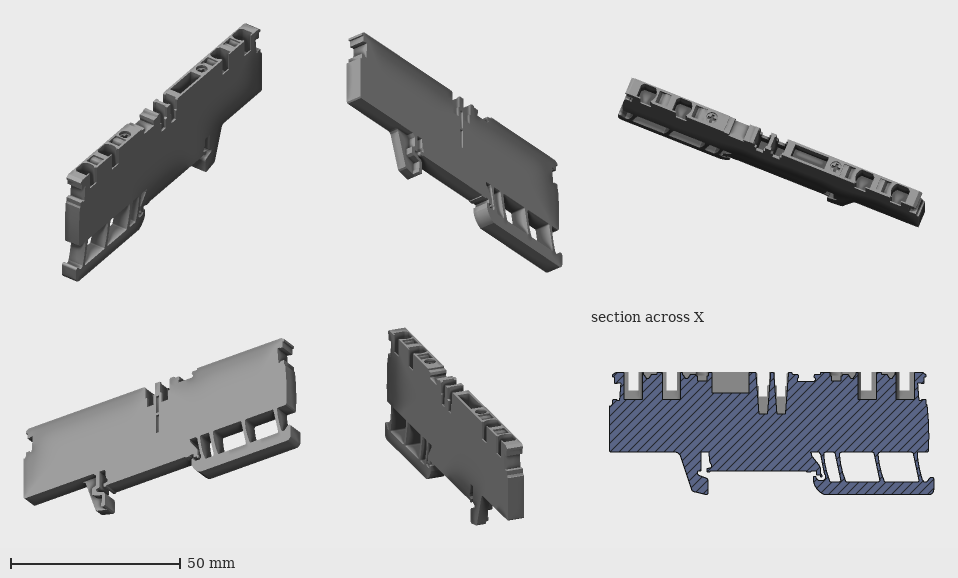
import cadquery as cq
import math

THICKNESS = 5.1
TOTAL_LENGTH = 95.74
HEIGHT = 36.15
HALF_HOUSING = 47.14
HOUSING_BOTTOM = 12.5
SHOULDER_Z = 26.35
HOUSING_CORNER = 0.4
BOWED_END_INSET = 0.1
BOWED_END_MIDDLE_Z = 18.0
LOWER_BLOCK_BOTTOM = 7.0
CLIP_SHOULDER_Y = -13.85
FOOT_TIP = HALF_HOUSING - TOTAL_LENGTH

BLADE_Y = -0.87
BLADE_HALF_TOP = 0.87
BLADE_HALF_ROOT = 1.45
NOTCH_HALF_TOP = 4.32
NOTCH_HALF_ROOT = 3.8
NOTCH_STEP_Z = 32.1
NOTCH_STEP_RISE = 0.4
NOTCH_FLOOR_Z = 28.92
NOTCH_CHAMFER = 0.4
BRIDGE_POCKET_HALF_WIDTH = 1.75
BRIDGE_POCKET_TOP = (0.5, 4.75)
BRIDGE_POCKET_FLOOR = (1.45, 3.85)
BRIDGE_POCKET_FLOOR_Z = 24.0

GROOVE_WIDTH = 1.2
GROOVE_DEPTH = 0.8
UPPER_GROOVE_Z = (25.7, 31.5)
LOWER_GROOVE_Z = (18.8, 24.9)
UPPER_GROOVE_CHAMFER = 0.25

POCKET_HALF_WIDTH = 1.88
FUNNEL_OUTER_ENDS = (42.8, 31.5)
FUNNEL_LENGTH = 5.3
FUNNEL_HALF_WIDTH = 2.2
FUNNEL_DEPTH = 8.0
FUNNEL_CORNER = 0.8
FUNNEL_NOSE_RADIUS = 2.95
SIDE_WINDOW_DEPTH = 5.5
SIDE_WINDOW_SPAN = (1.3, 4.8)
RELEASE_SLOT_OUTER_ENDS = (37.0, 25.5)
RELEASE_SLOT_LENGTH = 3.75
RELEASE_LEDGE_DEPTH = 0.6
RELEASE_VALLEY_DEPTH = 1.8
RELEASE_VALLEY_OFFSETS = (0.85, 1.4)
RELEASE_LEDGE_OFFSET = 2.2
MARKER_POCKET_Y = (6.1, 16.8)
MARKER_POCKET_DEPTH = 6.0
SCREW_Y = 19.75
SCREW_RADIUS = 1.75
SCREW_HOLE_DEPTH = 1.0
CROSS_LENGTH = 2.6
CROSS_WIDTH = 0.8
CROSS_DEPTH = 1.5

FOOT_TOE_Y = -13.0
FOOT_TOE_TOP = 5.5
FOOT_FLOOR_Z = 3.85
CELL_TOPS = ((-16.15, -19.3), (-20.8, -30.8), (-32.2, -42.35))
END_STRUT_TOP_Y = -43.75
STRUT_LEAN = 1.85
STRUT_BEND_Z = 11.6
STRUT_MIDDLE_Z = 7.75
STRUT_MIDDLE_LEAN = 0.6
CELL_CORNER_RADIUS = 0.45
FOOT_END_RADIUS = 1.5

HOOK_WEB_RECESS = 2.2
HOOK_RAIL_Y = 17.95
HOOK_NOSE_Z = 4.8
HOOK_NOSE_RADIUS = 1.2


def plate(points):
    """Extrude a (y, z) outline over the full thickness."""
    return cq.Workplane("YZ").polyline(points).close().extrude(THICKNESS / 2, both=True)


def corner_edge(y, z):
    """Selector for the edge along X that passes through (y, z)."""
    return cq.selectors.NearestToPointSelector((0, y, z))


def box(x_range, y_range, z_range):
    """Axis-aligned block between the given limits."""
    spans = [high - low for low, high in (x_range, y_range, z_range)]
    corner = (x_range[0], y_range[0], z_range[0])
    return cq.Workplane("XY").box(*spans, centered=False).translate(corner)


def end_outline(side):
    """Housing end from the top down to its shoulder; side is +1 for the +Y end, -1 for the -Y end."""
    profile = [
        (1.85, HEIGHT), (0.85, HEIGHT - 0.7), (0.85, 34.7), (1.45, 34.7), (1.45, 32.8),
        (2.3, 32.8), (2.4, 33.0), (3.3, 33.0), (2.9, 27.85), (2.3, 27.85), (2.1, 28.25),
        (0.9, 28.25), (0.85, 26.9), (0.5, SHOULDER_Z),
    ]
    return [(side * (HALF_HOUSING - inset), z) for inset, z in profile]


def notch_outline(side):
    """Bridge notch on one side of the blade, from the blade outwards."""
    profile = [
        (BLADE_HALF_TOP, HEIGHT), (BLADE_HALF_TOP, NOTCH_STEP_Z + NOTCH_STEP_RISE),
        (BLADE_HALF_ROOT, NOTCH_STEP_Z), (BLADE_HALF_ROOT, NOTCH_FLOOR_Z),
        (NOTCH_HALF_ROOT, NOTCH_FLOOR_Z), (NOTCH_HALF_ROOT, NOTCH_STEP_Z),
        (NOTCH_HALF_TOP, NOTCH_STEP_Z), (NOTCH_HALF_TOP, HEIGHT - NOTCH_CHAMFER),
        (NOTCH_HALF_TOP + NOTCH_CHAMFER, HEIGHT),
    ]
    return [(BLADE_Y + side * offset, z) for offset, z in profile]


def housing():
    """Flat housing plate with its lower block, bridge notches and label seat."""
    label_seat = [
        (-6.6, HEIGHT), (-6.95, 35.6), (-8.6, 35.6), (-8.7, 34.5), (-8.4, 34.35), (-8.4, 33.55),
        (-13.25, 33.55), (-13.6, 33.85), (-13.6, 34.2), (-13.1, 34.8), (-13.3, 35.6),
        (-15.0, 35.6), (-15.0, HEIGHT),
    ]
    clip_finger = [
        (-10.85, LOWER_BLOCK_BOTTOM), (-10.85, 6.7), (-12.35, 6.7), (-12.5, LOWER_BLOCK_BOTTOM),
        (CLIP_SHOULDER_Y, LOWER_BLOCK_BOTTOM), (CLIP_SHOULDER_Y, 5.75), (-15.0, 5.75), (-15.05, 5.2),
        (-15.6, 5.2), (-15.6, 5.8), (-15.2, 6.3), (-15.2, 7.9), (-14.7, 8.8), (-12.5, 11.6),
        (-12.5, 12.15), (-12.3, HOUSING_BOTTOM),
    ]
    catch = [
        (17.9, HOUSING_BOTTOM), (17.6, 9.6), (17.1, 8.9), (17.1, 8.1), (18.5, 7.8),
        (18.5, 6.9), (18.2, 6.65), (17.6, 6.65), (17.4, LOWER_BLOCK_BOTTOM),
    ]
    flat_end = [
        (HALF_HOUSING, SHOULDER_Z), (HALF_HOUSING, HOUSING_BOTTOM + HOUSING_CORNER),
        (HALF_HOUSING - HOUSING_CORNER, HOUSING_BOTTOM),
    ]
    bowed_end_bottom = [
        (HOUSING_CORNER - HALF_HOUSING, HOUSING_BOTTOM),
        (BOWED_END_INSET - HALF_HOUSING, HOUSING_BOTTOM + HOUSING_CORNER),
    ]
    outline = (
        end_outline(-1)[::-1]
        + label_seat[::-1]
        + notch_outline(-1)[::-1]
        + notch_outline(1)
        + end_outline(1)
        + flat_end
        + catch
        + clip_finger
        + bowed_end_bottom
    )
    return (
        cq.Workplane("YZ")
        .polyline(outline)
        .threePointArc((-HALF_HOUSING, BOWED_END_MIDDLE_Z), outline[0])
        .close()
        .extrude(THICKNESS / 2, both=True)
    )


def foot_cell(top_start, top_end):
    """Opening between two leaning struts, given its two edges at the housing bottom."""
    cell = (
        cq.Workplane("YZ")
        .moveTo(top_start, HOUSING_BOTTOM)
        .lineTo(top_start, STRUT_BEND_Z)
        .threePointArc(
            (top_start - STRUT_MIDDLE_LEAN, STRUT_MIDDLE_Z), (top_start - STRUT_LEAN, FOOT_FLOOR_Z)
        )
        .lineTo(top_end - STRUT_LEAN, FOOT_FLOOR_Z)
        .lineTo(top_end, HOUSING_BOTTOM)
        .close()
        .extrude(THICKNESS / 2, both=True)
    )
    return cell.edges("|X and (<Z or >Z)").fillet(CELL_CORNER_RADIUS)


def rail_foot():
    """Foot bar with an upturned toe and heel, hung from the housing by leaning struts."""
    arc_inset = (1 - math.sqrt(0.5)) * FOOT_END_RADIUS
    foot = (
        cq.Workplane("YZ")
        .moveTo(FOOT_TOE_Y, FOOT_TOE_TOP)
        .lineTo(FOOT_TOE_Y, FOOT_FLOOR_Z)
        .threePointArc((-14.05, 1.7), (-16.2, 0))
        .lineTo(FOOT_TIP + FOOT_END_RADIUS, 0)
        .threePointArc((FOOT_TIP + arc_inset, arc_inset), (FOOT_TIP, FOOT_END_RADIUS))
        .lineTo(FOOT_TIP, 4.7)
        .threePointArc((-48.1, 5.25), (-47.4, 5.0))
        .lineTo(-46.35, FOOT_FLOOR_Z)
        .lineTo(-45.7, FOOT_FLOOR_Z)
        .lineTo(-45.2, 4.5)
        .threePointArc(
            (END_STRUT_TOP_Y - STRUT_MIDDLE_LEAN, STRUT_MIDDLE_Z), (END_STRUT_TOP_Y, STRUT_BEND_Z)
        )
        .lineTo(END_STRUT_TOP_Y, HOUSING_BOTTOM)
        .lineTo(-14.7, HOUSING_BOTTOM)
        .lineTo(-15.1, 11.9)
        .lineTo(-16.2, 6.2)
        .lineTo(-16.5, 5.8)
        .lineTo(-16.5, 4.8)
        .lineTo(-16.0, 4.35)
        .lineTo(-14.5, 4.35)
        .lineTo(CLIP_SHOULDER_Y, 4.9)
        .lineTo(CLIP_SHOULDER_Y, FOOT_TOE_TOP)
        .close()
        .extrude(THICKNESS / 2, both=True)
    )
    for top_start, top_end in CELL_TOPS:
        foot = foot.cut(foot_cell(top_start, top_end))
    return foot


def snap_hook():
    """Springy hook: a full-thickness band backed by a web set in from the -X face."""
    band = [
        (22.15, HOUSING_BOTTOM), (21.1, 11.5), (21.1, 8.35), (22.55, 7.5), (22.55, 5.45),
        (21.7, 4.9), (19.1, 4.1), (19.1, 1.95), (19.35, 1.4), (19.35, 0.35), (18.55, 0.0),
    ]
    rail_side = [
        (HOOK_RAIL_Y, 0.3), (HOOK_RAIL_Y, HOOK_NOSE_Z), (20.8, 5.8), (21.1, 6.2), (21.1, 6.9),
        (20.2, 7.0), (20.0, 7.3), (20.0, HOUSING_BOTTOM),
    ]
    web = band + [(22.3, 0.9), (22.85, 1.25), (26.4, 11.8), (26.9, 12.3), (27.4, HOUSING_BOTTOM)]
    inset_web = plate(web).intersect(plate(web).translate((HOOK_WEB_RECESS, 0, 0)))
    full_band = plate(band + rail_side).edges(corner_edge(HOOK_RAIL_Y, HOOK_NOSE_Z))
    return full_band.fillet(HOOK_NOSE_RADIUS).union(inset_web)


def wire_funnel(side, outer_end):
    """Wire entry with a rounded inner end, its +X wall opened by a side window."""
    inner_end = outer_end - FUNNEL_LENGTH
    nose_y = side * (inner_end + FUNNEL_NOSE_RADIUS)
    floor_z = HEIGHT - FUNNEL_DEPTH
    nose = cq.Workplane("XY", origin=(0, nose_y, floor_z)).circle(FUNNEL_NOSE_RADIUS).extrude(FUNNEL_DEPTH)
    outline = [
        (FUNNEL_HALF_WIDTH, side * outer_end), (FUNNEL_HALF_WIDTH, nose_y),
        (-FUNNEL_HALF_WIDTH, nose_y), (-FUNNEL_HALF_WIDTH, side * (outer_end - FUNNEL_CORNER)),
        (FUNNEL_CORNER - FUNNEL_HALF_WIDTH, side * outer_end),
    ]
    mouth = cq.Workplane("XY", origin=(0, 0, floor_z)).polyline(outline).close().extrude(FUNNEL_DEPTH)

    nose_range = sorted((nose_y, side * inner_end))
    rounded_end = nose.intersect(
        box((-FUNNEL_HALF_WIDTH, FUNNEL_HALF_WIDTH), nose_range, (floor_z, HEIGHT))
    )
    window_y = sorted(side * (outer_end - offset) for offset in SIDE_WINDOW_SPAN)
    window = box((FUNNEL_HALF_WIDTH, THICKNESS / 2), window_y, (HEIGHT - SIDE_WINDOW_DEPTH, HEIGHT))
    return mouth.union(rounded_end).union(window)


def release_slot(side, outer_end):
    """Screwdriver slot: a narrow sloping-sided valley beside a shallow ledge."""
    valley_start, valley_end = RELEASE_VALLEY_OFFSETS
    profile = [
        (0, 0), (0, RELEASE_LEDGE_DEPTH), (valley_start, RELEASE_VALLEY_DEPTH),
        (valley_end, RELEASE_VALLEY_DEPTH), (RELEASE_LEDGE_OFFSET, RELEASE_LEDGE_DEPTH),
        (RELEASE_SLOT_LENGTH, RELEASE_LEDGE_DEPTH), (RELEASE_SLOT_LENGTH, 0),
    ]
    points = [(side * (outer_end - offset), HEIGHT - depth) for offset, depth in profile]
    return cq.Workplane("YZ").polyline(points).close().extrude(POCKET_HALF_WIDTH, both=True)


def screw_hole(side):
    """Round hole with a cross recess in its floor."""
    floor = cq.Workplane("XY", origin=(0, side * SCREW_Y, HEIGHT - SCREW_HOLE_DEPTH))
    hole = floor.circle(SCREW_RADIUS).extrude(SCREW_HOLE_DEPTH)
    for arm in ((CROSS_LENGTH, CROSS_WIDTH), (CROSS_WIDTH, CROSS_LENGTH)):
        hole = hole.union(floor.rect(*arm).extrude(-CROSS_DEPTH))
    return hole


def bridge_pocket(side):
    """Pocket inside a bridge notch, narrowing downwards between its two end walls."""
    inner_top, outer_top = BRIDGE_POCKET_TOP
    inner_floor, outer_floor = BRIDGE_POCKET_FLOOR
    profile = [
        (inner_top, HEIGHT), (inner_floor, BRIDGE_POCKET_FLOOR_Z),
        (outer_floor, BRIDGE_POCKET_FLOOR_Z), (outer_top, HEIGHT),
    ]
    points = [(BLADE_Y + side * offset, z) for offset, z in profile]
    return cq.Workplane("YZ").polyline(points).close().extrude(BRIDGE_POCKET_HALF_WIDTH, both=True)


def label_groove(z_range):
    """Upright groove in the -X face, centred under the blade."""
    y_range = (BLADE_Y - GROOVE_WIDTH / 2, BLADE_Y + GROOVE_WIDTH / 2)
    return box((-THICKNESS / 2, GROOVE_DEPTH - THICKNESS / 2), y_range, z_range)


result = housing().union(rail_foot()).union(snap_hook())

for half in (1, -1):
    for funnel_end in FUNNEL_OUTER_ENDS:
        result = result.cut(wire_funnel(half, funnel_end))
    for slot_end in RELEASE_SLOT_OUTER_ENDS:
        result = result.cut(release_slot(half, slot_end))
    result = result.cut(screw_hole(half))
    result = result.cut(bridge_pocket(half))

marker_x = (-POCKET_HALF_WIDTH, POCKET_HALF_WIDTH)
result = result.cut(box(marker_x, MARKER_POCKET_Y, (HEIGHT - MARKER_POCKET_DEPTH, HEIGHT)))

upper_groove = label_groove(UPPER_GROOVE_Z).edges("|X and >Z").chamfer(UPPER_GROOVE_CHAMFER)
result = result.cut(upper_groove)
result = result.cut(label_groove(LOWER_GROOVE_Z))

result = result.translate((0, TOTAL_LENGTH / 2 - HALF_HOUSING, 0))